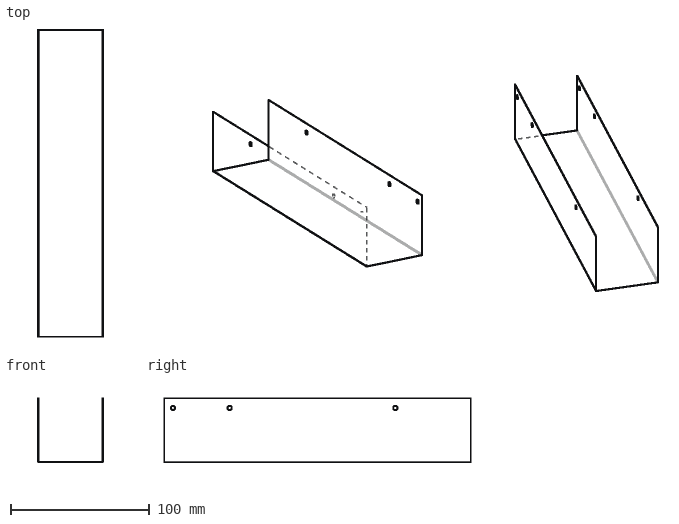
import cadquery as cq

width = 46.9
length = 221.05
height = 46.25

sheet = 0.45
inner_bend_radius = 0.5
outer_bend_radius = inner_bend_radius + sheet

hole_diameter = 3.0
hole_drop = 7.0
hole_offsets = [6.45, 47.25, 166.6]


def rounded_trough(trough_width, bottom, bend_radius):
    """Solid block from `bottom` to the top edge, with both lower long edges rounded."""
    return (
        cq.Workplane("XY")
        .workplane(offset=bottom)
        .box(trough_width, length, height - bottom, centered=(True, False, False))
        .edges("|Y and <Z")
        .fillet(bend_radius)
    )


def make_channel():
    """U-section folded from sheet, running along Y with its open side up."""
    outer = rounded_trough(width, 0, outer_bend_radius)
    inner = rounded_trough(width - 2 * sheet, sheet, inner_bend_radius)
    return outer.cut(inner)


def wall_hole_drills():
    """Cylinders along X that pass through both walls at every hole position."""
    hole_centres = [(offset, height - hole_drop) for offset in hole_offsets]
    return (
        cq.Workplane("YZ")
        .pushPoints(hole_centres)
        .circle(hole_diameter / 2)
        .extrude(width, both=True)
    )


result = make_channel().cut(wall_hole_drills())